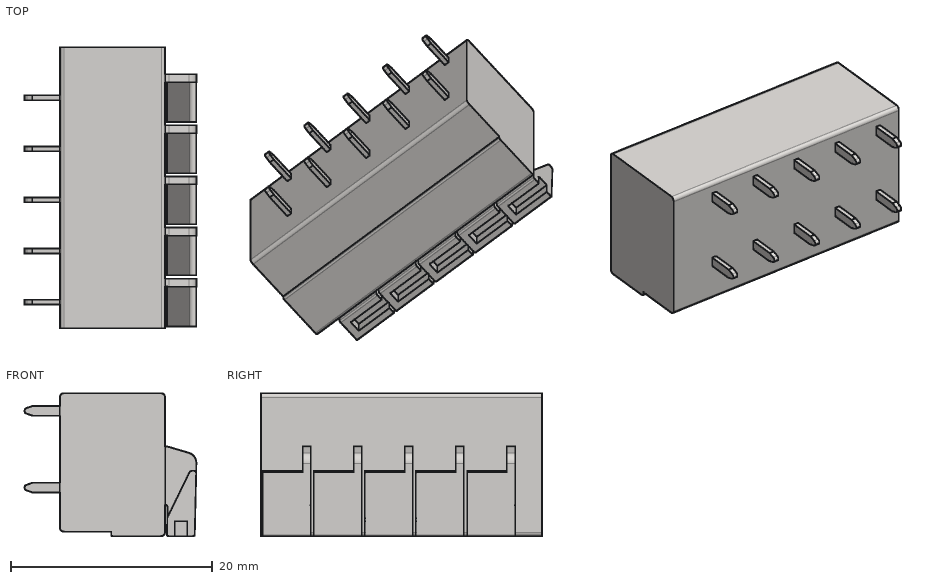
import cadquery as cq
import math


body_depth = 10.45
body_length = 27.95
body_height = 14.22
body_round = 0.4
step_height = 0.45
step_start = 5.09
step_round = 0.17

row_count = 5
row_span = 20.3
row_pitch = row_span / (row_count - 1)

pin_length = 3.52
pin_height = 0.98
pin_thickness = 0.5
pin_taper_length = 0.78
pin_nose_length = 0.22
pin_nose_height = 0.6
pin_flat_height = 0.05
pin_nose_middle_height = 0.42
pin_nose_middle_depth = 0.08
pin_first_y = 2.6
pin_levels = (4.83, 12.45)

lever_first_y = 0.17
lever_width = 4.78
rib_thickness = 0.8
lever_reach = 3.13
lever_top = 8.95
crown_start = 0.4
crown_end = 2.35
crown_angle = math.radians(16.5)
lead_in_radius = crown_start / math.sin(crown_angle)
crown_radius = (lever_reach - crown_end) / (1 - math.sin(crown_angle))
lever_bottom_reach = 2.95
lever_corner_round = 0.17
gap_bottom = 0.17
gap_top = 0.237
gap_height = 3.1
gap_round = 0.2

slope_foot_x = 0.22
slope_foot_z = 1.85
slope_angle = math.radians(64)
ridge_x = 2.77
ridge_radius = 0.42

notch_start = 0.98
notch_end = 2.2
notch_height = 1.48


def extrude_along_y(profile, start_y, length):
    """Extrude an XZ profile from start_y toward +Y."""
    return profile.extrude(-length).translate((0, start_y, 0))


def make_body():
    profile = (
        cq.Workplane("XZ")
        .moveTo(0, step_height)
        .lineTo(step_start, step_height)
        .lineTo(step_start, 0)
        .lineTo(body_depth, 0)
        .lineTo(body_depth, body_height)
        .lineTo(0, body_height)
        .close()
    )
    body = extrude_along_y(profile, 0, body_length)
    body = body.edges("|Y and (<X or >X)").fillet(body_round)
    step_edge = cq.selectors.NearestToPointSelector((step_start, body_length / 2, 0))
    return body.edges(step_edge).fillet(step_round)


def make_pin(start_y, level):
    """Flat pin with tapered sides and a rounded nose, pointing toward -X."""
    taper_x = -pin_length + pin_taper_length
    nose_x = -pin_length + pin_nose_length
    half_height = pin_height / 2
    half_nose = pin_nose_height / 2
    half_flat = pin_flat_height / 2
    middle_x = -pin_length + pin_nose_middle_depth
    half_middle = pin_nose_middle_height / 2
    profile = (
        cq.Workplane("XZ")
        .moveTo(0, level - half_height)
        .lineTo(0, level + half_height)
        .lineTo(taper_x, level + half_height)
        .lineTo(nose_x, level + half_nose)
        .threePointArc((middle_x, level + half_middle), (-pin_length, level + half_flat))
        .lineTo(-pin_length, level - half_flat)
        .threePointArc((middle_x, level - half_middle), (nose_x, level - half_nose))
        .lineTo(taper_x, level - half_height)
        .close()
    )
    return extrude_along_y(profile, start_y, pin_thickness)


def lever_blank():
    """Full side outline of a lever, extruded over its whole width."""
    lead_in_middle = (
        lead_in_radius * math.sin(crown_angle / 2),
        lever_top - lead_in_radius * (1 - math.cos(crown_angle / 2)),
    )
    slope_start_z = lever_top - lead_in_radius * (1 - math.cos(crown_angle))
    slope_end_z = slope_start_z - (crown_end - crown_start) * math.tan(crown_angle)
    center_x = lever_reach - crown_radius
    center_z = slope_end_z - crown_radius * math.cos(crown_angle)
    middle_angle = (math.pi / 2 - crown_angle) / 2
    crown_middle = (
        center_x + crown_radius * math.cos(middle_angle),
        center_z + crown_radius * math.sin(middle_angle),
    )
    profile = (
        cq.Workplane("XZ")
        .moveTo(0, gap_height)
        .lineTo(0, lever_top)
        .threePointArc(lead_in_middle, (crown_start, slope_start_z))
        .lineTo(crown_end, slope_end_z)
        .threePointArc(crown_middle, (lever_reach, center_z))
        .lineTo(lever_bottom_reach, 0)
        .lineTo(gap_bottom, 0)
        .lineTo(gap_top, gap_height)
        .close()
    )
    blank = extrude_along_y(profile, 0, lever_width)
    blank = blank.faces("<Z").edges("|Y").fillet(lever_corner_round)
    gap_edge = cq.selectors.NearestToPointSelector((gap_top, lever_width / 2, gap_height))
    return blank.edges(gap_edge).fillet(gap_round)


def above_slope(width):
    """Space over the sloped face and its rounded ridge."""
    tangent_x = ridge_x - ridge_radius * math.sin(slope_angle)
    tangent_z = slope_foot_z + (tangent_x - slope_foot_x) * math.tan(slope_angle)
    center_z = tangent_z - ridge_radius * math.cos(slope_angle)
    far_x = ridge_x + ridge_radius
    foot_z = slope_foot_z - slope_foot_x * math.tan(slope_angle)
    profile = (
        cq.Workplane("XZ")
        .moveTo(0, foot_z)
        .lineTo(tangent_x, tangent_z)
        .threePointArc((ridge_x, center_z + ridge_radius), (far_x, center_z))
        .lineTo(far_x, lever_top)
        .lineTo(0, lever_top)
        .close()
    )
    return extrude_along_y(profile, 0, width)


def make_lever():
    """Sloped, notched lever with a full-height rib on its +Y side."""
    open_width = lever_width - rib_thickness
    notch = cq.Workplane("XY").box(
        notch_end - notch_start, open_width, notch_height, centered=False
    )
    lever = lever_blank().cut(above_slope(open_width))
    return lever.cut(notch.translate((notch_start, 0, 0)))


result = make_body()
lever = make_lever()
for row in range(row_count):
    row_offset = row * row_pitch
    result = result.union(lever.translate((body_depth, lever_first_y + row_offset, 0)))
    pin_start_y = pin_first_y + row_offset - pin_thickness / 2
    for level in pin_levels:
        result = result.union(make_pin(pin_start_y, level))